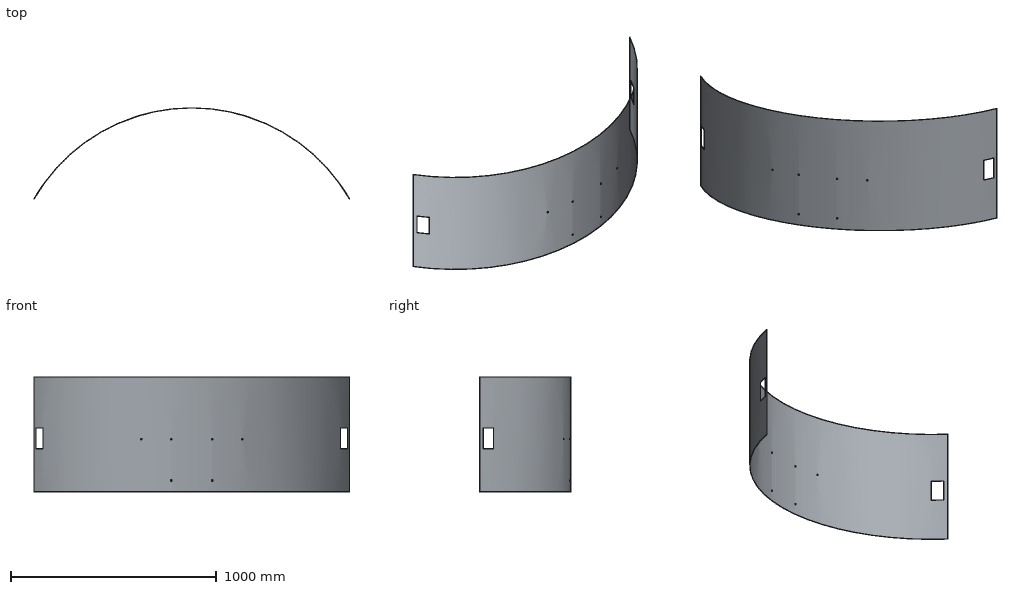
import cadquery as cq
import math

width = 1533.0
height = 558.0
thickness = 1.0
half_angle = 60.0
outer_radius = width / 2 / math.sin(math.radians(half_angle))
inner_radius = outer_radius - thickness

window_width = 60.0
window_height = 100.0
window_edge_gap = 20.0
window_z = -20.0

hole_diameter = 6.0
inner_hole_x = 100.0
outer_hole_x = 245.0
upper_hole_z = -23.0
lower_hole_z = -224.0
hole_pairs = [
    (inner_hole_x, upper_hole_z),
    (outer_hole_x, upper_hole_z),
    (inner_hole_x, lower_hole_z),
]

cutter_depth = 30.0


def arc_point(radius, angle):
    """Point on the arc, with the angle measured from +Y towards +X."""
    radians = math.radians(angle)
    return (radius * math.sin(radians), radius * math.cos(radians))


def curved_sheet():
    return (
        cq.Workplane("XY", origin=(0, 0, -height / 2))
        .moveTo(*arc_point(outer_radius, -half_angle))
        .threePointArc((0, outer_radius), arc_point(outer_radius, half_angle))
        .lineTo(*arc_point(inner_radius, half_angle))
        .threePointArc((0, inner_radius), arc_point(inner_radius, -half_angle))
        .close()
        .extrude(height)
    )


def place_on_sheet(cutter, angle, z):
    """Move a cutter pointing along Y to the given angle and height on the sheet."""
    return cutter.translate((0, outer_radius, z)).rotate((0, 0, 0), (0, 0, 1), -angle)


window_cutter = cq.Workplane("XY").box(window_width, cutter_depth, window_height)
hole_cutter = cq.Workplane("XZ").circle(hole_diameter / 2).extrude(cutter_depth / 2, both=True)
window_arc_offset = window_edge_gap + window_width / 2
window_angle = half_angle - math.degrees(window_arc_offset / outer_radius)

result = curved_sheet()
for side in (-1, 1):
    result = result.cut(place_on_sheet(window_cutter, side * window_angle, window_z))
    for x, z in hole_pairs:
        hole_angle = math.degrees(math.asin(x / outer_radius))
        result = result.cut(place_on_sheet(hole_cutter, side * hole_angle, z))